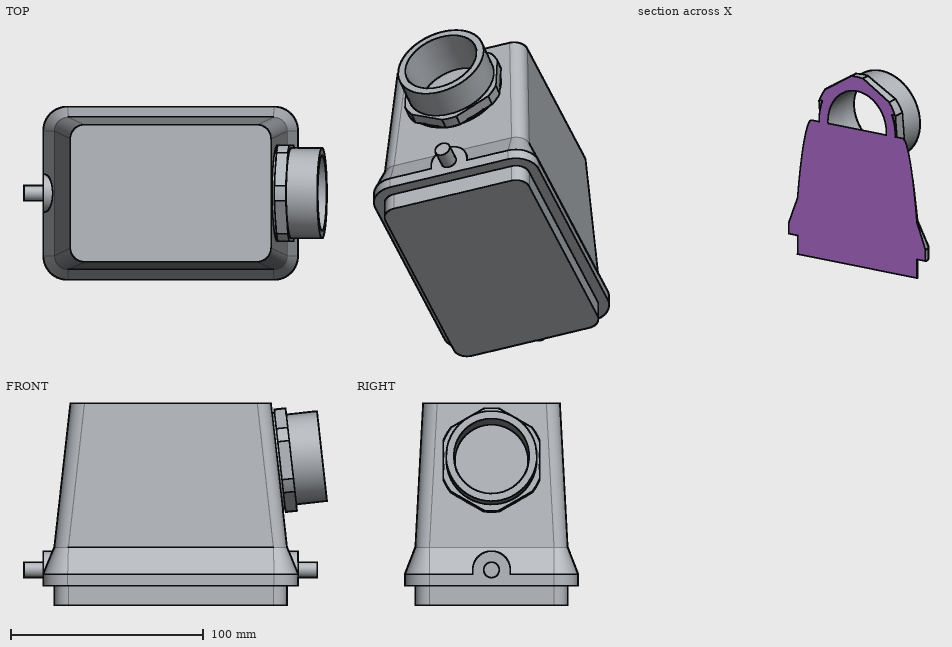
import cadquery as cq

total_height = 105.0
flange_bottom = 10.0
flange_top = 16.2
body_bottom = 30.2

base_length = 120.9
base_width = 79.2
body_corner = 7.2
top_length = 104.2
top_width = 71.1
flange_length = 132.4
flange_width = 90.0
flange_corner = 12.6

pin_diameter = 8.0
pin_height = 18.4
pin_tip = 76.2
lug_radius = 9.8

gland_height = 75.0
collar_diameter = 50.0
collar_thickness = 1.3
nut_sides = 6
nut_across_flats = 50.0
nut_corner_diameter = 53.8
nut_thickness = 6.0
tube_diameter = 47.0
tube_length = 16.0
bore_mouth_diameter = 39.2
bore_floor_diameter = 38.0

wall_slope = (base_length - top_length) / 2 / (total_height - body_bottom)
gland_wall_x = base_length / 2 - wall_slope * (gland_height - body_bottom)
gland_length = collar_thickness + nut_thickness + tube_length


def rounded_outline(length, width, corner):
    return cq.Sketch().rect(length, width).vertices().fillet(corner)


def straight_block(outline, bottom, top):
    return cq.Workplane("XY", origin=(0, 0, bottom)).placeSketch(outline).extrude(top - bottom)


def tapered_block(lower, bottom, upper, top):
    return (
        cq.Workplane("XY", origin=(0, 0, bottom))
        .placeSketch(lower, upper.moved(cq.Location(cq.Vector(0, 0, top - bottom))))
        .loft(ruled=True)
    )


def make_hood():
    base = rounded_outline(base_length, base_width, body_corner)
    flange = rounded_outline(flange_length, flange_width, flange_corner)
    top = rounded_outline(top_length, top_width, body_corner)
    return (
        straight_block(base, 0, flange_bottom)
        .union(straight_block(flange, flange_bottom, flange_top))
        .union(tapered_block(flange, flange_top, base, body_bottom))
        .union(tapered_block(base, body_bottom, top, total_height))
    )


def make_lugs_and_pins():
    middle = cq.Workplane("YZ", origin=(0, 0, pin_height))
    lugs = middle.circle(lug_radius).extrude(flange_length / 2, both=True)
    lug_drop = pin_height - flange_bottom
    lug_skirts = (
        middle.center(0, -lug_drop / 2)
        .rect(2 * lug_radius, lug_drop)
        .extrude(flange_length / 2, both=True)
    )
    below_flange = cq.Workplane("XY").box(
        flange_length, flange_width, flange_bottom, centered=(True, True, False)
    )
    pins = middle.circle(pin_diameter / 2).extrude(pin_tip, both=True)
    return lugs.union(lug_skirts).cut(below_flange).union(pins)


def gland_plane(distance):
    """Plane square to the gland axis, at a distance outward from the wall."""
    plane = cq.Plane(
        origin=(gland_wall_x, 0, gland_height),
        xDir=(0, 1, 0),
        normal=(1, 0, wall_slope),
    )
    return cq.Workplane(plane).workplane(offset=distance)


def make_gland():
    collar = gland_plane(0).circle(collar_diameter / 2).extrude(collar_thickness)
    hexagon = (
        gland_plane(collar_thickness)
        .polygon(nut_sides, nut_across_flats, circumscribed=True)
        .extrude(nut_thickness)
    )
    turned = gland_plane(collar_thickness).circle(nut_corner_diameter / 2).extrude(nut_thickness)
    tube = gland_plane(0).circle(tube_diameter / 2).extrude(gland_length)
    bore = (
        gland_plane(0)
        .circle(bore_floor_diameter / 2)
        .workplane(offset=gland_length)
        .circle(bore_mouth_diameter / 2)
        .loft(ruled=True)
    )
    return collar.union(hexagon.intersect(turned)).union(tube).cut(bore)


result = make_hood().union(make_lugs_and_pins()).union(make_gland())